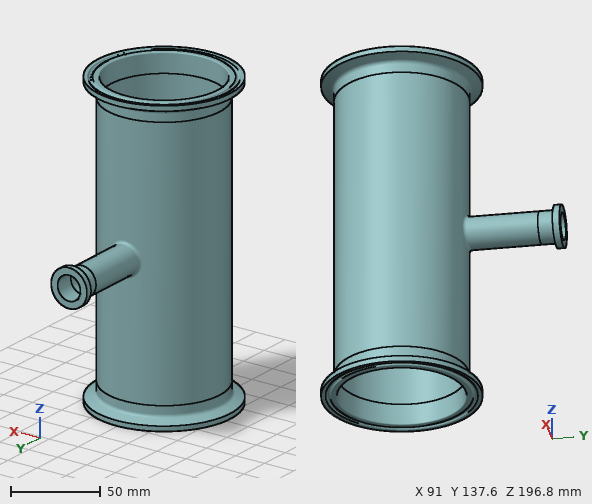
import cadquery as cq
import math

total_length = 196.8
pipe_radius = 38.2
pipe_bore_radius = 36.5
flange_radius = 45.5
flange_rim = 3.3
neck_fillet = 2.0
bore_edge_radius = 0.5

groove_inner_radius = 40.1
groove_outer_radius = 43.0
groove_depth = 1.4
groove_lip_radius = 0.5

branch_end = 92.1
branch_diameter = 19.0
branch_radius = branch_diameter / 2
branch_bore_radius = 7.9
branch_flange_radius = 12.4
branch_flange_rim = 4.0
branch_neck_fillet = 1.4
junction_fillet = 1.8

ferrule_length = 12.8
clamp_angle = math.radians(20)

selection_margin = 0.2

pipe_half_length = total_length / 2 - ferrule_length
branch_tube_end = branch_end - ferrule_length


def make_ferrule(rim_radius, neck_radius, bore_radius, rim, corner_fillet):
    """Ferrule along Z, with its sealing face at Z = 0 and its neck going down."""
    cone_end = rim + (rim_radius - neck_radius) * math.tan(clamp_angle)
    body = (
        cq.Workplane("XZ")
        .moveTo(bore_radius, 0)
        .lineTo(rim_radius, 0)
        .lineTo(rim_radius, -rim)
        .lineTo(neck_radius, -cone_end)
        .lineTo(neck_radius, -ferrule_length)
        .lineTo(bore_radius, -ferrule_length)
        .close()
        .revolve(360, (0, 0, 0), (0, 1, 0))
    )
    neck_corner = cq.selectors.BoxSelector(
        (-rim_radius, -rim_radius, -cone_end - selection_margin),
        (rim_radius, rim_radius, -cone_end + selection_margin),
        boundingbox=True,
    )
    return body.edges(neck_corner).fillet(corner_fillet)


def make_gasket_groove():
    """Ring with an arc-shaped bottom, cut into a sealing face at Z = 0."""
    middle_radius = (groove_inner_radius + groove_outer_radius) / 2
    return (
        cq.Workplane("XZ")
        .moveTo(groove_inner_radius, 0)
        .threePointArc((middle_radius, -groove_depth), (groove_outer_radius, 0))
        .close()
        .revolve(360, (0, 0, 0), (0, 1, 0))
    )


def make_pipe_ferrule():
    """Large ferrule with a round-lipped gasket groove and a rounded bore edge."""
    ferrule = make_ferrule(flange_radius, pipe_radius, pipe_bore_radius, flange_rim, neck_fillet)
    ferrule = ferrule.cut(make_gasket_groove())
    groove_lips = (
        ferrule.faces(">Z").edges(cq.selectors.RadiusNthSelector(1))
        .add(ferrule.faces(">Z").edges(cq.selectors.RadiusNthSelector(2)))
    )
    ferrule = groove_lips.fillet(groove_lip_radius)
    bore_edge = ferrule.faces(">Z").edges(cq.selectors.RadiusNthSelector(0))
    return bore_edge.fillet(bore_edge_radius)


def make_along_y(radius, length):
    """Cylinder from the pipe axis out along +Y."""
    return cq.Workplane("XZ").circle(radius).extrude(-length)


def make_branched_pipe():
    """Pipe with a side tube blended into it and open to its bore."""
    pipe = cq.Workplane("XY").circle(pipe_radius).extrude(pipe_half_length, both=True)
    pipe = pipe.union(make_along_y(branch_radius, branch_tube_end))
    junction = cq.selectors.BoxSelector(
        (-branch_radius - selection_margin, 0, -branch_radius - selection_margin),
        (branch_radius + selection_margin, pipe_radius + selection_margin, branch_radius + selection_margin),
        boundingbox=True,
    )
    pipe = pipe.edges(junction).fillet(junction_fillet)
    bore = cq.Workplane("XY").circle(pipe_bore_radius).extrude(pipe_half_length, both=True)
    return pipe.cut(bore).cut(make_along_y(branch_bore_radius, branch_tube_end))


branched_pipe = make_branched_pipe()

pipe_ferrules = []
for flip_angle in (0, 180):
    ferrule = make_pipe_ferrule().translate((0, 0, total_length / 2))
    pipe_ferrules.append(ferrule.rotate((0, 0, 0), (1, 0, 0), flip_angle))

branch_ferrule = (
    make_ferrule(
        branch_flange_radius, branch_radius, branch_bore_radius, branch_flange_rim, branch_neck_fillet
    )
    .rotate((0, 0, 0), (1, 0, 0), -90)
    .translate((0, branch_end, 0))
)

result = cq.Compound.makeCompound(
    [branched_pipe.val(), *[ferrule.val() for ferrule in pipe_ferrules], branch_ferrule.val()]
)